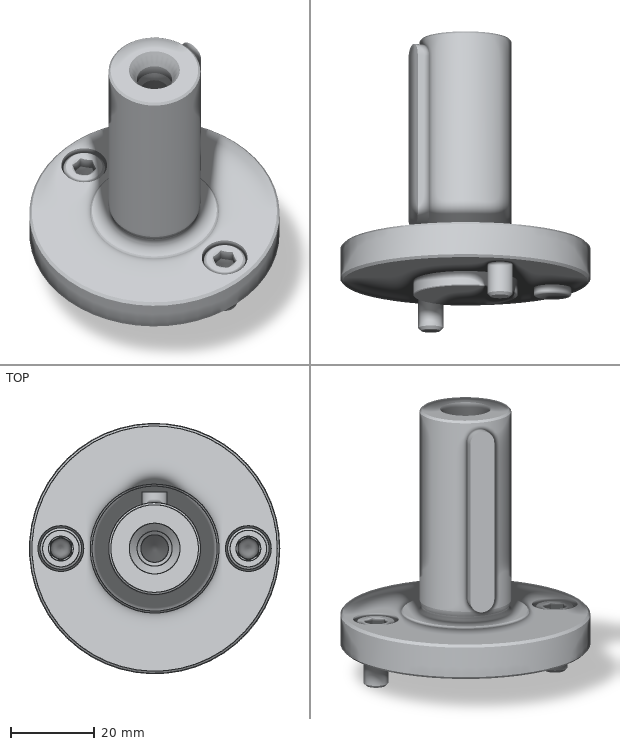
import cadquery as cq
import math


FLANGE_DIAMETER = 60.0
FLANGE_THICKNESS = 8.55
FLANGE_CHAMFER = 0.6
BOSS_TOP_DIAMETER = 30.0
BOSS_TOP_Z = 9.0
SPIGOT_DIAMETER = 25.0
SPIGOT_HEIGHT = 3.5
SPIGOT_CHAMFER = 0.2

SHAFT_DIAMETER = 22.0
SHAFT_TOP_Z = 59.0
SHAFT_CHAMFER = 0.5
NECK_DIAMETER = 21.2
UNDERCUT_HEIGHT = 2.55
UNDERCUT_FILLET = 0.8
UNDERCUT_SLOPE_HEIGHT = 1.3

MOUTH_DIAMETER = 12.2
MOUTH_DEPTH = 3.3
ENTRY_DIAMETER = 8.4
ENTRY_DEPTH = 5.7
BORE_DIAMETER = 6.6
BORE_DEPTH = 19.0
DRILL_HALF_ANGLE = math.radians(60)
STEP_HALF_ANGLE = math.radians(30)

KEY_WIDTH = 6.0
KEY_LENGTH = 45.0
KEY_HEIGHT = KEY_WIDTH
KEY_TOP_Y = 13.5
KEY_END_GAP = 2.0

SCREW_OFFSET = 22.5
SCREW_DIAMETER = 6.0
SCREW_TIP_Z = -7.9
TIP_CHAMFER = 0.7
HEAD_DIAMETER = 10.0
HEAD_HEIGHT = 6.0
HEAD_CHAMFER = 0.6
HEAD_RECESS = 0.435
COUNTERBORE_DIAMETER = 11.0
SOCKET_WIDTH = 5.0
SOCKET_DEPTH = 3.0
SOCKET_MOUTH_DIAMETER = 5.95

STUD_OFFSET = 22.5
STUD_WIDTH = 8.75
STUD_LENGTH = 9.0
STUD_HEIGHT = 2.0
STUD_FILLET = 0.6

SCREW_POSITIONS = [(-SCREW_OFFSET, 0), (SCREW_OFFSET, 0)]
HEAD_TOP_Z = FLANGE_THICKNESS - HEAD_RECESS
HEAD_SEAT_Z = HEAD_TOP_Z - HEAD_HEIGHT


def cylinder(diameter, bottom_z, top_z):
    """Upright cylinder on the Z axis."""
    return cq.Workplane("XY").workplane(offset=bottom_z).circle(diameter / 2).extrude(top_z - bottom_z)


def cone_depth(diameter):
    """Depth of the conical end that a drill of this diameter leaves."""
    return diameter / 2 / math.tan(DRILL_HALF_ANGLE)


def make_flange():
    disc = cylinder(FLANGE_DIAMETER, 0, FLANGE_THICKNESS).edges().chamfer(FLANGE_CHAMFER)
    spigot = cylinder(SPIGOT_DIAMETER, -SPIGOT_HEIGHT, 0).faces("<Z").chamfer(SPIGOT_CHAMFER)
    boss_height = BOSS_TOP_Z - FLANGE_THICKNESS
    boss_top_radius = BOSS_TOP_DIAMETER / 2
    boss = cq.Solid.makeCone(
        boss_top_radius + boss_height, boss_top_radius, boss_height, cq.Vector(0, 0, FLANGE_THICKNESS)
    )
    return disc.union(spigot).union(cq.Workplane(boss))


def make_shaft():
    """Turned shaft whose foot narrows to a neck and flares out again onto the boss."""
    radius = SHAFT_DIAMETER / 2
    neck_radius = NECK_DIAMETER / 2
    undercut_top_z = BOSS_TOP_Z + UNDERCUT_HEIGHT
    flare_radius = neck_radius + UNDERCUT_FILLET
    flare_top_z = BOSS_TOP_Z + UNDERCUT_FILLET
    fillet_reach = UNDERCUT_FILLET * math.sqrt(0.5)
    return (
        cq.Workplane("XZ")
        .moveTo(0, 0)
        .lineTo(flare_radius, 0)
        .lineTo(flare_radius, BOSS_TOP_Z)
        .threePointArc(
            (flare_radius - fillet_reach, flare_top_z - fillet_reach),
            (neck_radius, flare_top_z),
        )
        .lineTo(neck_radius, undercut_top_z - UNDERCUT_SLOPE_HEIGHT)
        .lineTo(radius, undercut_top_z)
        .lineTo(radius, SHAFT_TOP_Z - SHAFT_CHAMFER)
        .lineTo(radius - SHAFT_CHAMFER, SHAFT_TOP_Z)
        .lineTo(0, SHAFT_TOP_Z)
        .close()
        .revolve(360, (0, 0), (0, 1))
    )


def make_center_hole():
    """Cutter for the centre hole, with a conical mouth and a conical step."""
    mouth_radius = MOUTH_DIAMETER / 2
    entry_radius = ENTRY_DIAMETER / 2
    bore_radius = BORE_DIAMETER / 2
    step_height = (entry_radius - bore_radius) / math.tan(STEP_HALF_ANGLE)
    entry_bottom_z = SHAFT_TOP_Z - ENTRY_DEPTH
    bore_bottom_z = SHAFT_TOP_Z - BORE_DEPTH
    return (
        cq.Workplane("XZ")
        .moveTo(0, SHAFT_TOP_Z)
        .lineTo(0, bore_bottom_z - cone_depth(BORE_DIAMETER))
        .lineTo(bore_radius, bore_bottom_z)
        .lineTo(bore_radius, entry_bottom_z - step_height)
        .lineTo(entry_radius, entry_bottom_z)
        .lineTo(entry_radius, SHAFT_TOP_Z - MOUTH_DEPTH)
        .lineTo(mouth_radius, SHAFT_TOP_Z)
        .close()
        .revolve(360, (0, 0), (0, 1))
    )


def make_key():
    """Round-ended bar, partly sunk into the shaft."""
    key_center_z = SHAFT_TOP_Z - KEY_END_GAP - KEY_LENGTH / 2
    return (
        cq.Workplane("XZ", origin=(0, KEY_TOP_Y, key_center_z))
        .slot2D(KEY_LENGTH, KEY_WIDTH, 90)
        .extrude(KEY_HEIGHT)
    )


def drill_point(diameter, base_z):
    """Cone of a drill's point, standing on its tip below base_z."""
    return cq.Workplane(
        cq.Solid.makeCone(diameter / 2, 0, cone_depth(diameter), cq.Vector(0, 0, base_z), cq.Vector(0, 0, -1))
    )


def make_socket():
    """Cutter for the hexagon socket, with a conical bottom and a countersunk mouth."""
    corner_diameter = 2 * SOCKET_WIDTH / math.sqrt(3)
    socket_bottom_z = HEAD_TOP_Z - SOCKET_DEPTH
    hexagon = (
        cq.Workplane("XY", origin=(0, 0, socket_bottom_z))
        .transformed(rotate=(0, 0, 30))
        .polygon(6, corner_diameter)
        .extrude(SOCKET_DEPTH)
    )
    bottom = drill_point(SOCKET_WIDTH, socket_bottom_z)
    mouth = drill_point(SOCKET_MOUTH_DIAMETER, HEAD_TOP_Z)
    return hexagon.union(bottom).union(mouth)


def make_screw():
    """Cap screw on the Z axis, at its final height."""
    shank = cylinder(SCREW_DIAMETER, SCREW_TIP_Z, HEAD_SEAT_Z)
    shank = shank.faces("<Z").chamfer(TIP_CHAMFER)
    head = cylinder(HEAD_DIAMETER, HEAD_SEAT_Z, HEAD_TOP_Z).faces(">Z").chamfer(HEAD_CHAMFER)
    return shank.union(head).cut(make_socket())


def make_screw_hole():
    """Cutter for one counterbored hole, a close fit on the shank."""
    through_hole = cylinder(SCREW_DIAMETER, 0, HEAD_SEAT_Z)
    counterbore = cylinder(COUNTERBORE_DIAMETER, HEAD_SEAT_Z, FLANGE_THICKNESS)
    return through_hole.union(counterbore)


def make_stud():
    stud = (
        cq.Workplane("XY", origin=(0, -STUD_OFFSET, 0))
        .slot2D(STUD_LENGTH, STUD_WIDTH, 90)
        .extrude(-STUD_HEIGHT)
    )
    return stud.faces("<Z").edges().fillet(STUD_FILLET)


def make_flanged_shaft():
    """Flange, shaft and stud in one piece, cut out for the key and the screws."""
    body = make_flange().union(make_shaft()).union(make_stud()).cut(make_center_hole()).cut(make_key())
    for x, y in SCREW_POSITIONS:
        body = body.cut(make_screw_hole().translate((x, y, 0)))
    return body


flanged_shaft = make_flanged_shaft()
key = make_key()
screws = [make_screw().translate((x, y, 0)) for x, y in SCREW_POSITIONS]

result = cq.Compound.makeCompound([flanged_shaft.val(), key.val(), *[screw.val() for screw in screws]])